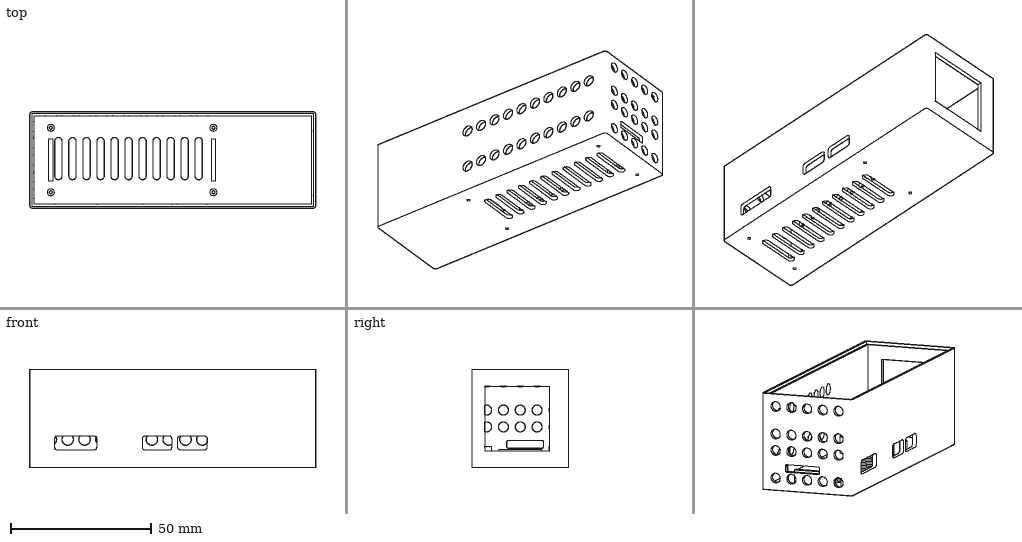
import cadquery as cq

LENGTH = 102.0
WIDTH = 34.5
HEIGHT = 35.0
WALL = 1.5
FLOOR = 1.5
CORNER_RADIUS = 1.0
MID_Y = WIDTH / 2
MID_Z = HEIGHT / 2

RIM_STEP = WALL / 2
RIM_DEPTH = 1.0

BOARD_START_X = 4.0
BOARD_HOLE_INSET = 3.5
BOARD_HOLE_SPACING_X = 58.0
BOARD_HOLE_SPACING_Y = 23.0
STANDOFF_DIAMETER = 2.5
STANDOFF_BORE = 1.0
STANDOFF_TOP = 7.5
RIB_THICKNESS = 1.5
RIB_LENGTH = 15.0
RIB_TOP = 6.5
STANDOFF_X = [
    BOARD_START_X + BOARD_HOLE_INSET,
    BOARD_START_X + BOARD_HOLE_INSET + BOARD_HOLE_SPACING_X,
]
STANDOFF_Y = [MID_Y - BOARD_HOLE_SPACING_Y / 2, MID_Y + BOARD_HOLE_SPACING_Y / 2]

FLOOR_SLOT_COUNT = 11
FLOOR_SLOT_PITCH = 5.0
FLOOR_SLOT_FIRST_X = 10.25
FLOOR_SLOT_WIDTH = 2.5
FLOOR_SLOT_LENGTH = 15.0
FLOOR_SLOT_OFFSET_Y = 0.5

CONNECTORS = [(12.4, 15.0), (41.4, 10.5), (54.0, 10.5)]
CONNECTOR_BOTTOM = 6.25
CONNECTOR_HEIGHT = 5.0
CONNECTOR_CORNER = 1.0

BACK_HOLE_DIAMETER = 4.0
BACK_HOLE_COUNT = 10
BACK_HOLE_FIRST_X = 7.55
BACK_HOLE_PITCH = 6.0
BACK_HOLE_ROWS = [10.0, 25.0]

END_HOLE_DIAMETER = 3.5
END_HOLE_COLUMNS = 5
END_HOLE_PITCH = 6.0
END_HOLE_ROW_OFFSETS = [-13.0, -3.0, 3.0, 13.0]
CARD_SLOT_WIDTH = 13.0
CARD_SLOT_HEIGHT = 2.75
CARD_SLOT_BOTTOM = 6.9
CARD_SLOT_OFFSET_Y = 1.75
CARD_SLOT_CORNER = 0.5

END_WINDOW_SIZE = 23.0
END_WINDOW_OFFSET_Y = -1.1


def block(x_size, y_size, z_size, x_mid, y_mid, z_bottom):
    """Box centred on (x_mid, y_mid) and standing on z_bottom."""
    box = cq.Workplane("XY").box(x_size, y_size, z_size, centered=(True, True, False))
    return box.translate((x_mid, y_mid, z_bottom))


def make_shell():
    mid_x = LENGTH / 2
    outer = block(LENGTH, WIDTH, HEIGHT, mid_x, MID_Y, 0).edges("|Z").fillet(CORNER_RADIUS)
    cavity = block(LENGTH - 2 * WALL, WIDTH - 2 * WALL, HEIGHT, mid_x, MID_Y, FLOOR)
    rim = block(
        LENGTH - 2 * RIM_STEP, WIDTH - 2 * RIM_STEP, RIM_DEPTH, mid_x, MID_Y, HEIGHT - RIM_DEPTH
    )
    return outer.cut(cavity).cut(rim)


def add_board_supports(body):
    for x in STANDOFF_X:
        body = body.union(block(RIB_THICKNESS, RIB_LENGTH, RIB_TOP, x, MID_Y, 0))
    points = [(x, y) for x in STANDOFF_X for y in STANDOFF_Y]
    posts = cq.Workplane("XY").pushPoints(points).circle(STANDOFF_DIAMETER / 2).extrude(STANDOFF_TOP)
    bores = cq.Workplane("XY").pushPoints(points).circle(STANDOFF_BORE / 2).extrude(STANDOFF_TOP)
    return body.union(posts).cut(bores)


def cut_floor_slots(body):
    points = [
        (FLOOR_SLOT_FIRST_X + i * FLOOR_SLOT_PITCH, MID_Y + FLOOR_SLOT_OFFSET_Y)
        for i in range(FLOOR_SLOT_COUNT)
    ]
    slots = (
        cq.Workplane("XY")
        .pushPoints(points)
        .slot2D(FLOOR_SLOT_LENGTH, FLOOR_SLOT_WIDTH, 90)
        .extrude(FLOOR)
    )
    return body.cut(slots)


def cut_connector_windows(body):
    for centre, width in CONNECTORS:
        x_mid = BOARD_START_X + centre
        window = block(width, WALL, CONNECTOR_HEIGHT, x_mid, WALL / 2, CONNECTOR_BOTTOM)
        body = body.cut(window.edges("|Y").fillet(CONNECTOR_CORNER))
    return body


def cut_back_holes(body):
    points = [
        (BACK_HOLE_FIRST_X + i * BACK_HOLE_PITCH, z)
        for i in range(BACK_HOLE_COUNT)
        for z in BACK_HOLE_ROWS
    ]
    holes = (
        cq.Workplane("XZ", origin=(0, WIDTH, 0))
        .pushPoints(points)
        .circle(BACK_HOLE_DIAMETER / 2)
        .extrude(WALL)
    )
    return body.cut(holes)


def cut_end_holes(body):
    first_y = MID_Y - END_HOLE_PITCH * (END_HOLE_COLUMNS - 1) / 2
    points = [
        (first_y + i * END_HOLE_PITCH, MID_Z + offset)
        for i in range(END_HOLE_COLUMNS)
        for offset in END_HOLE_ROW_OFFSETS
    ]
    holes = cq.Workplane("YZ").pushPoints(points).circle(END_HOLE_DIAMETER / 2).extrude(WALL)
    return body.cut(holes)


def cut_card_slot(body):
    y_mid = MID_Y + CARD_SLOT_OFFSET_Y
    slot = block(WALL, CARD_SLOT_WIDTH, CARD_SLOT_HEIGHT, WALL / 2, y_mid, CARD_SLOT_BOTTOM)
    return body.cut(slot.edges("|X").fillet(CARD_SLOT_CORNER))


def cut_end_window(body):
    y_mid = MID_Y + END_WINDOW_OFFSET_Y
    z_bottom = MID_Z - END_WINDOW_SIZE / 2
    return body.cut(
        block(WALL, END_WINDOW_SIZE, END_WINDOW_SIZE, LENGTH - WALL / 2, y_mid, z_bottom)
    )


result = make_shell()
result = add_board_supports(result)
result = cut_floor_slots(result)
result = cut_connector_windows(result)
result = cut_back_holes(result)
result = cut_end_holes(result)
result = cut_card_slot(result)
result = cut_end_window(result)